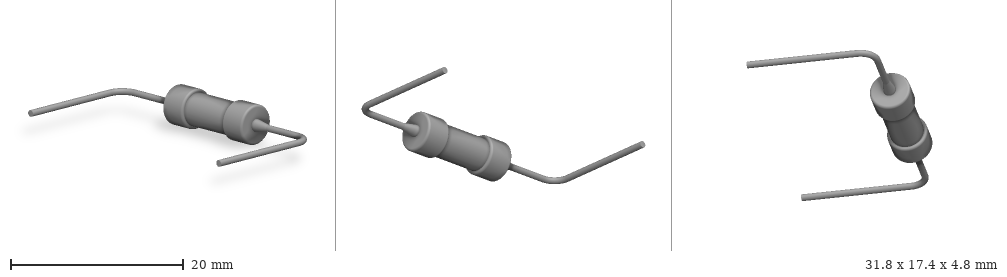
import cadquery as cq

overall_width = 31.8
overall_depth = 17.4

cap_diameter = 4.8
cap_length = 3.25
cap_edge_radius = 0.3
body_diameter = 4.0
body_length = 13.05

lead_diameter = 0.8
bend_radius = 2.0
cone_length = 2.0
cone_base_diameter = 1.5

lead_x = (overall_width - lead_diameter) / 2
lead_end_y = cap_diameter / 2 - overall_depth
cap_outer_x = body_length / 2
cap_inner_x = cap_outer_x - cap_length


def make_body():
    """Central cylinder along X, reaching the inner faces of the caps."""
    return cq.Workplane("YZ").circle(body_diameter / 2).extrude(cap_inner_x, both=True)


def make_cap():
    """Right-hand cap with both rims rounded."""
    cap = cq.Workplane("YZ", origin=(cap_inner_x, 0, 0)).circle(cap_diameter / 2).extrude(cap_length)
    return cap.edges().fillet(cap_edge_radius)


def make_cone():
    """Right-hand cone tapering from the cap face down to the lead."""
    return (
        cq.Workplane("XY")
        .moveTo(cap_outer_x, 0)
        .lineTo(cap_outer_x, cone_base_diameter / 2)
        .lineTo(cap_outer_x + cone_length, lead_diameter / 2)
        .lineTo(cap_outer_x + cone_length, 0)
        .close()
        .revolve(360, (0, 0, 0), (1, 0, 0))
    )


def make_lead():
    """Right-hand wire: out along X, then bent to run along -Y."""
    path = (
        cq.Workplane("XY")
        .moveTo(cap_outer_x, 0)
        .lineTo(lead_x - bend_radius, 0)
        .tangentArcPoint((lead_x, -bend_radius), relative=False)
        .lineTo(lead_x, lead_end_y)
    )
    section = cq.Workplane("YZ", origin=(cap_outer_x, 0, 0)).circle(lead_diameter / 2)
    return section.sweep(path)


right_end = make_cap().union(make_cone()).union(make_lead())
left_end = right_end.mirror("YZ")
result = make_body().union(right_end).union(left_end)